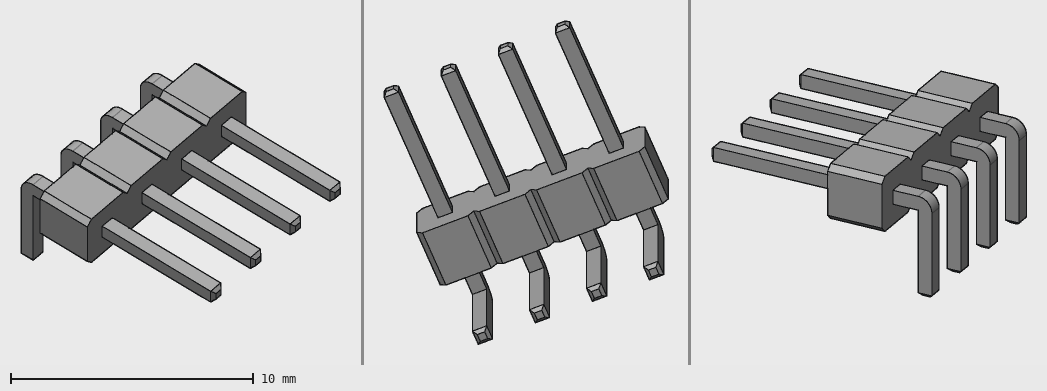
import cadquery as cq

pin_count = 4
housing_length = 10.16
pin_width = 0.64
pin_length = 10.36
overall_height = 5.54
housing_start = 1.82
housing_chamfer = 0.26
tip_chamfer = 0.16
bend_radius = pin_width

pitch = housing_length / pin_count
half_pitch = pitch / 2
half_pin = pin_width / 2
tip_z = half_pitch - overall_height
row_start = -(pin_count - 1) * half_pitch


def housing_segment(y):
    """One square block of the housing, chamfered along its four X edges."""
    return (
        cq.Workplane("XY")
        .box(pitch, pitch, pitch)
        .edges("|X")
        .chamfer(housing_chamfer)
        .translate((housing_start + half_pitch, y, 0))
    )


def bent_pin(y):
    """One L-shaped square pin with a rounded outer bend and tapered tips."""
    pin = (
        cq.Workplane("XZ", origin=(0, y + half_pin, 0))
        .moveTo(0, tip_z)
        .lineTo(0, half_pin - bend_radius)
        .radiusArc((bend_radius, half_pin), bend_radius)
        .lineTo(pin_length, half_pin)
        .lineTo(pin_length, -half_pin)
        .lineTo(pin_width, -half_pin)
        .lineTo(pin_width, tip_z)
        .close()
        .extrude(pin_width)
    )
    return pin.faces(">X or <Z").edges().chamfer(tip_chamfer)


result = cq.Workplane("XY")
for index in range(pin_count):
    pin_y = row_start + index * pitch
    result = result.union(housing_segment(pin_y)).union(bent_pin(pin_y))